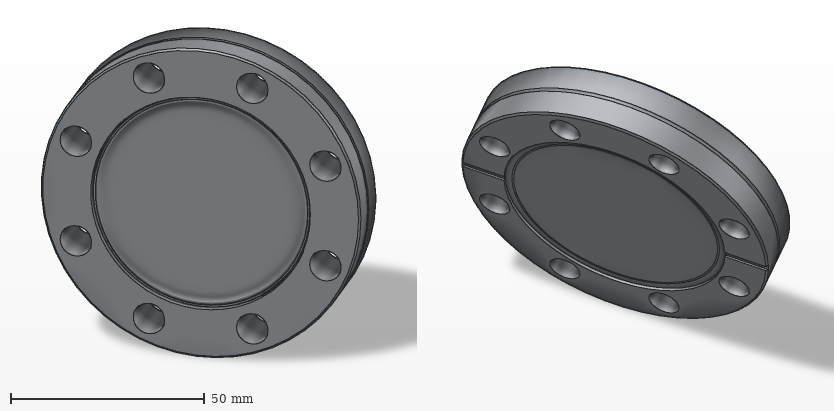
import cadquery as cq
import math


FLANGE_DIAMETER = 85.7
FLANGE_THICKNESS = 15.8
EDGE_CHAMFER = 0.5
RIM_GROOVE_WIDTH = 1.0
RIM_GROOVE_DEPTH = 0.25
BOLT_COUNT = 8
BOLT_HOLE_DIAMETER = 8.4
BOLT_CIRCLE_DIAMETER = 72.4
GASKET_RECESS_DIAMETER = 61.7
GASKET_RECESS_DEPTH = 0.85
LEAK_SLOT_WIDTH = 1.9
LEAK_SLOT_DEPTH = 0.5
WELD_RELIEF_DIAMETER = 58.9
WELD_RELIEF_DEPTH = 2.05

SLEEVE_DIAMETER = 58.0
SLEEVE_FRONT = 0.85

WINDOW_DIAMETER = 57.0
WINDOW_EDGE_FRONT = 1.2
WINDOW_EDGE_BULGE = 0.2
RIDGE_DIAMETER = 55.4
RIDGE_FRONT = 1.0
FLAT_DIAMETER = 50.6
FLAT_FRONT = 1.5

SEAT_BACK = FLANGE_THICKNESS - GASKET_RECESS_DEPTH


def disc(diameter, front, back):
    """Solid cylinder about the Y axis between two Y positions."""
    return cq.Workplane("XZ", origin=(0, front, 0)).circle(diameter / 2).extrude(front - back)


def revolve_about_y(profile):
    """Turn a closed (radius, Y) profile in the XY plane about the Y axis."""
    return profile.close().revolve(360, (0, 0, 0), (0, 1, 0))


def rim_groove():
    """Shallow round groove around the middle of the outer rim."""
    radius = FLANGE_DIAMETER / 2
    middle = FLANGE_THICKNESS / 2
    half_width = RIM_GROOVE_WIDTH / 2
    profile = (
        cq.Workplane("XY")
        .moveTo(radius, middle - half_width)
        .threePointArc((radius - RIM_GROOVE_DEPTH, middle), (radius, middle + half_width))
        .lineTo(radius + RIM_GROOVE_DEPTH, middle + half_width)
        .lineTo(radius + RIM_GROOVE_DEPTH, middle - half_width)
    )
    return revolve_about_y(profile)


def bolt_holes():
    """Ring of through holes, set half a pitch away from the X and Z axes."""
    return (
        cq.Workplane("XZ")
        .polarArray(BOLT_CIRCLE_DIAMETER / 2, 180 / BOLT_COUNT, 360, BOLT_COUNT)
        .circle(BOLT_HOLE_DIAMETER / 2)
        .extrude(-FLANGE_THICKNESS)
    )


def leak_slot():
    """Leak-test slot along X across the back face, leading into the gasket recess on both sides."""
    middle_depth = FLANGE_THICKNESS - LEAK_SLOT_DEPTH / 2
    slot = cq.Workplane("XY").box(FLANGE_DIAMETER, LEAK_SLOT_DEPTH, LEAK_SLOT_WIDTH)
    return slot.translate((0, middle_depth, 0))


def make_flange():
    """Bolted ring with a stepped bore."""
    body = disc(FLANGE_DIAMETER, 0, FLANGE_THICKNESS).edges().chamfer(EDGE_CHAMFER)
    cutters = [
        disc(SLEEVE_DIAMETER, 0, FLANGE_THICKNESS),
        disc(WELD_RELIEF_DIAMETER, 0, WELD_RELIEF_DEPTH),
        disc(GASKET_RECESS_DIAMETER, SEAT_BACK, FLANGE_THICKNESS),
        rim_groove(),
        bolt_holes(),
        leak_slot(),
    ]
    for cutter in cutters:
        body = body.cut(cutter)
    return body


def make_sleeve():
    """Thin tube between the window and the flange."""
    tube = disc(SLEEVE_DIAMETER, SLEEVE_FRONT, SEAT_BACK)
    return tube.cut(disc(WINDOW_DIAMETER, SLEEVE_FRONT, SEAT_BACK))


def dish_arc_middle():
    """Middle point of the dish arc, which is tangent to the flat face and ends at the ridge."""
    run = (RIDGE_DIAMETER - FLAT_DIAMETER) / 2
    rise = FLAT_FRONT - RIDGE_FRONT
    arc_radius = (run**2 + rise**2) / (2 * rise)
    half_angle = math.atan2(rise, run)
    return (
        FLAT_DIAMETER / 2 + arc_radius * math.sin(half_angle),
        FLAT_FRONT - arc_radius * (1 - math.cos(half_angle)),
    )


def make_window():
    """Round window with a flat middle, a dished border, a ridge and a rounded outer edge."""
    profile = (
        cq.Workplane("XY")
        .moveTo(0, FLAT_FRONT)
        .lineTo(FLAT_DIAMETER / 2, FLAT_FRONT)
        .threePointArc(dish_arc_middle(), (RIDGE_DIAMETER / 2, RIDGE_FRONT))
        .sagittaArc((WINDOW_DIAMETER / 2, WINDOW_EDGE_FRONT), -WINDOW_EDGE_BULGE)
        .lineTo(WINDOW_DIAMETER / 2, SEAT_BACK)
        .lineTo(0, SEAT_BACK)
    )
    return revolve_about_y(profile)


flange = make_flange()
sleeve = make_sleeve()
window = make_window()

result = cq.Compound.makeCompound([flange.val(), sleeve.val(), window.val()])